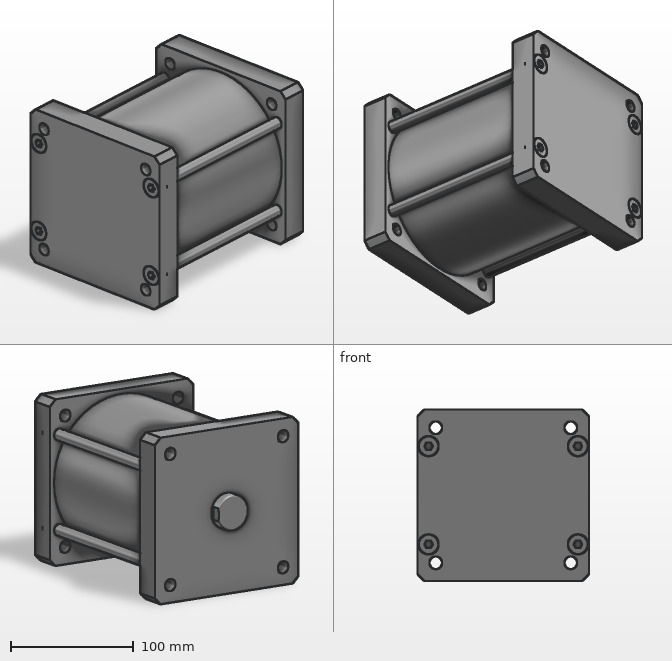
import cadquery as cq
import math

plate_side = 140.0
plate_thickness = 22.0
plate_corner_radius = 95.1
mount_hole_diameter = 10.2
mount_hole_offset = 55.0

barrel_diameter = 132.0
barrel_length = 134.0
tie_rod_diameter = 10.0
tie_rod_offset_x = 61.0
tie_rod_offset_z = 40.0

counterbore_diameter = 16.5
screw_head_diameter = 16.0
screw_head_height = 10.0
socket_across_flats = 6.0
socket_sides = 6
socket_depth = 5.0

rod_end_diameter = 30
rod_end_length = 10.0
rod_end_across_flats = 28.0
rod_end_collar = 1.5
rod_end_edge_radius = 1.9

barrel_start = plate_thickness
rear_plate_start = barrel_start + barrel_length
rod_end_start = rear_plate_start + plate_thickness
overall_length = rod_end_start + rod_end_length

mount_hole_points = [
    (side_x * mount_hole_offset, side_z * mount_hole_offset)
    for side_x in (-1, 1)
    for side_z in (-1, 1)
]
tie_rod_points = [
    (side_x * tie_rod_offset_x, side_z * tie_rod_offset_z)
    for side_x in (-1, 1)
    for side_z in (-1, 1)
]


def section_at(y):
    """XZ sketch plane at the given Y; negative extrusion runs toward +Y."""
    plane = cq.Plane(origin=(0, y, 0), xDir=(1, 0, 0), normal=(0, -1, 0))
    return cq.Workplane(plane)


def cylinder(start, length, diameter, points=((0, 0),)):
    """Cylinders along +Y, one at each (x, z) point."""
    return section_at(start).pushPoints(points).circle(diameter / 2).extrude(-length)


def end_plate(start):
    """Square plate with corners turned to a circle about the part axis and four mounting holes."""
    plate = section_at(start).rect(plate_side, plate_side).extrude(-plate_thickness)
    plate = plate.intersect(cylinder(start, plate_thickness, 2 * plate_corner_radius))
    return plate.cut(cylinder(start, plate_thickness, mount_hole_diameter, mount_hole_points))


def screw_recesses():
    """Clearance ring around each screw head together with its hexagon socket."""
    rings = cylinder(0, screw_head_height, counterbore_diameter, tie_rod_points)
    rings = rings.cut(cylinder(0, screw_head_height, screw_head_diameter, tie_rod_points))
    socket_across_corners = socket_across_flats / math.cos(math.pi / socket_sides)
    sockets = section_at(0).pushPoints(tie_rod_points).polygon(socket_sides, socket_across_corners)
    return rings.union(sockets.extrude(-socket_depth))


def rod_end():
    """Round stub with a rounded tip and two flats that run out at 45 degrees into a collar."""
    stub = cylinder(rod_end_start, rod_end_length, rod_end_diameter)
    stub = stub.faces(">Y").edges().fillet(rod_end_edge_radius)

    radius = rod_end_diameter / 2
    flat_x = rod_end_across_flats / 2
    flat_start = rod_end_start + rod_end_collar
    flat_depth = radius - flat_x
    flat_cut = (
        cq.Workplane("XY")
        .moveTo(flat_x, overall_length)
        .lineTo(flat_x, flat_start)
        .lineTo(radius, flat_start - flat_depth)
        .lineTo(radius, overall_length)
        .close()
        .extrude(radius, both=True)
    )
    return stub.cut(flat_cut).cut(flat_cut.mirror("YZ"))


front_plate = end_plate(0).cut(screw_recesses())
rear_plate = end_plate(rear_plate_start)
barrel = cylinder(barrel_start, barrel_length, barrel_diameter)
tie_rods = cylinder(barrel_start, barrel_length, tie_rod_diameter, tie_rod_points)

result = front_plate.union(barrel).union(tie_rods).union(rear_plate).union(rod_end())